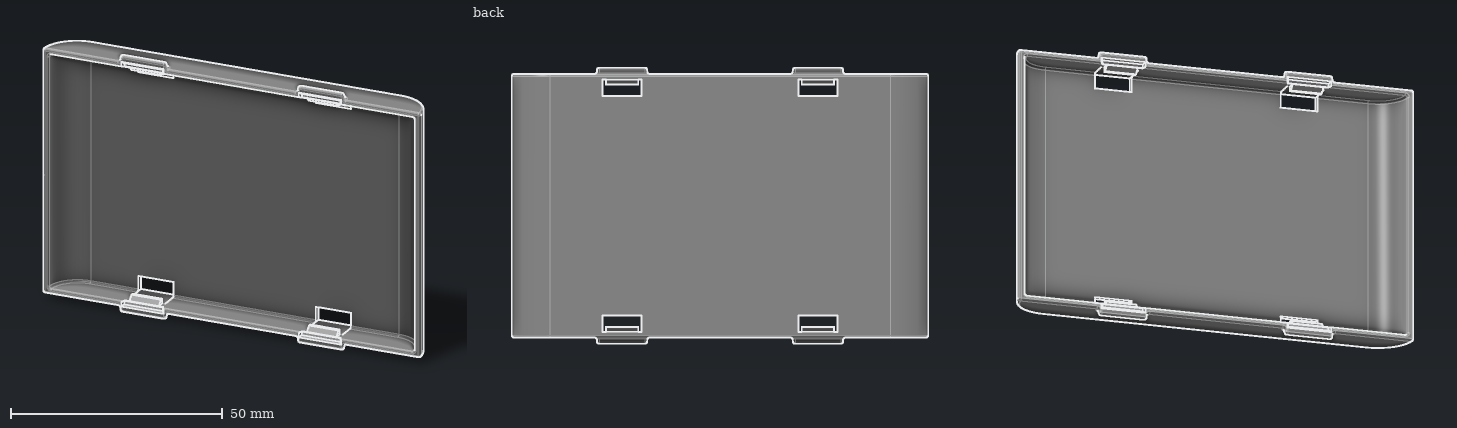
import cadquery as cq
import math

LENGTH = 98.4
DEPTH = 9.1
TOTAL_HEIGHT = 65.3
TAB_RISE = 1.5
HEIGHT = TOTAL_HEIGHT - 2 * TAB_RISE
SHELL = 1.6
SIDE_WALL = 1.4
DRAFT_ANGLE = 0.2
DRAFT_SLOPE = math.tan(math.radians(DRAFT_ANGLE))
EDGE_FILLET = 0.6
INNER_RIM_FILLET = 0.5

CLIP_SPACING = 46.3

TAB_WIDTH = 11.9
TAB_BASE_DEPTH = 2.1
TAB_TOP_DEPTH = 0.9

SLOT_WIDTH = 9.2
SLOT_HEIGHT = 3.8
SLOT_FRONT = 2.9

POCKET_WIDTH = 11.0
POCKET_DEPTH = 0.5
POCKET_FLARE_ANGLE = 45.0

BEAD_WIDTH = 7.7
BEAD_RISE = 1.2
BEAD_FRONT = 0.9
BEAD_CREST_FRONT = BEAD_FRONT + BEAD_RISE

OVERLAP = 0.3
TOLERANCE = 0.01

clip_x = CLIP_SPACING / 2
rim_z = HEIGHT / 2
inner_z = rim_z - SIDE_WALL


def drafted_tray(length, height, depth):
    """D-shaped prism with quarter-round ends and slightly drafted long sides."""
    half = length / 2
    prism = (
        cq.Workplane("XY")
        .moveTo(-half, 0)
        .lineTo(half, 0)
        .radiusArc((half - depth, depth), -depth)
        .lineTo(depth - half, depth)
        .radiusArc((-half, 0), -depth)
        .close()
        .extrude(height / 2, both=True)
    )
    front_z = height / 2
    back_z = front_z - depth * DRAFT_SLOPE
    side = (
        cq.Workplane("YZ")
        .polyline([(0, front_z), (depth, back_z), (depth, -back_z), (0, -front_z)])
        .close()
        .extrude(half, both=True)
    )
    return prism.intersect(side)


def clip_prism(outline, width):
    """Extrude a (Y, Z) outline along X, centred on the upper right clip."""
    return (
        cq.Workplane("YZ", origin=(clip_x, 0, 0))
        .polyline(outline)
        .close()
        .extrude(width / 2, both=True)
    )


def four_clips(upper_right):
    """Copy a feature of the upper right clip to all four clips."""
    pair = upper_right.union(upper_right.mirror("YZ"))
    return pair.union(pair.mirror("XY"))


def make_tab():
    top_z = rim_z + TAB_RISE
    base_z = rim_z - TAB_BASE_DEPTH * DRAFT_SLOPE
    return clip_prism(
        [
            (0, inner_z),
            (0, top_z),
            (TAB_TOP_DEPTH, top_z),
            (TAB_BASE_DEPTH, base_z),
            (TAB_BASE_DEPTH, inner_z),
        ],
        TAB_WIDTH,
    )


def is_tab_ridge(edge):
    middle = edge.Center()
    at_ridge_depth = abs(middle.y - TAB_TOP_DEPTH) < TOLERANCE
    at_tab_top = abs(abs(middle.z) - rim_z - TAB_RISE) < TOLERANCE
    return at_ridge_depth and at_tab_top


def make_outer():
    inset_radius = DEPTH - EDGE_FILLET
    end_trim = inset_radius - math.sqrt(inset_radius**2 - EDGE_FILLET**2)
    body = drafted_tray(LENGTH + 2 * end_trim, HEIGHT, DEPTH).union(four_clips(make_tab()))
    rounded = [edge for edge in body.edges().vals() if not is_tab_ridge(edge)]
    return body.newObject(rounded).fillet(EDGE_FILLET)


def make_cavity():
    cavity = drafted_tray(LENGTH - 2 * SHELL, HEIGHT - 2 * SIDE_WALL, DEPTH - SHELL)
    return cavity.edges("not <Y").edges("not |Z").fillet(EDGE_FILLET)


def make_slot():
    wall_z = inner_z - SLOT_FRONT * DRAFT_SLOPE
    far_z = inner_z - SLOT_HEIGHT
    return clip_prism(
        [(SLOT_FRONT, far_z), (SLOT_FRONT, wall_z), (DEPTH, wall_z), (DEPTH, far_z)],
        SLOT_WIDTH,
    )


def make_pocket():
    low_z = inner_z - 2 * POCKET_DEPTH
    mouth = (
        cq.Workplane("XZ", origin=(clip_x, 0, (rim_z + low_z) / 2))
        .rect(POCKET_WIDTH, rim_z - low_z)
        .extrude(-POCKET_DEPTH, taper=POCKET_FLARE_ANGLE)
    )
    ramp = clip_prism(
        [
            (POCKET_DEPTH, rim_z - POCKET_DEPTH),
            (BEAD_FRONT, inner_z),
            (POCKET_DEPTH, inner_z),
        ],
        POCKET_WIDTH - 2 * POCKET_DEPTH,
    )
    return mouth.union(ramp)


def make_bead():
    crest_z = inner_z - BEAD_RISE
    root_z = inner_z + OVERLAP
    return clip_prism(
        [
            (BEAD_FRONT + OVERLAP, root_z),
            (BEAD_FRONT + OVERLAP, inner_z),
            (BEAD_FRONT, inner_z),
            (BEAD_CREST_FRONT, crest_z),
            (SLOT_FRONT, crest_z),
            (SLOT_FRONT, root_z),
        ],
        BEAD_WIDTH,
    )


def round_inner_rim(tray):
    """Round the edge between the open face and the cavity."""
    reach_x = (LENGTH - SHELL) / 2
    reach_z = (HEIGHT - SIDE_WALL) / 2
    rim_zone = cq.selectors.BoxSelector(
        (-reach_x, -TOLERANCE, -reach_z),
        (reach_x, TOLERANCE, reach_z),
    )
    return tray.edges(rim_zone).fillet(INNER_RIM_FILLET)


tray = round_inner_rim(make_outer().cut(make_cavity()))
clip_openings = make_slot().union(make_pocket())
result = tray.cut(four_clips(clip_openings)).union(four_clips(make_bead()))